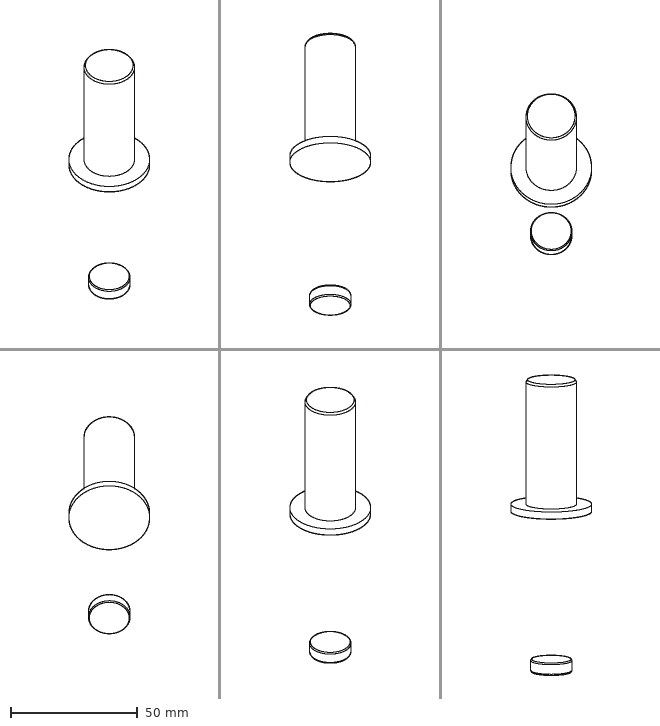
import cadquery as cq

total_height = 117.5
shaft_diameter = 20.0
shaft_length = 50.0
shaft_chamfer_inset = 0.6
shaft_chamfer_height = 0.9
flange_diameter = 32.0
flange_thickness = 2.9

disc_diameter = 16.5
disc_thickness = 5.0
disc_chamfer_inset = 0.4
disc_chamfer_height = 0.6

flange_bottom = total_height - shaft_length - flange_thickness


def revolve_about_z(profile):
    """Revolve a closed profile of (radius, height) points about the Z axis."""
    return cq.Workplane("XZ").polyline(profile).close().revolve(360, (0, 0), (0, 1))


def make_pin():
    """Round shaft with a steeply chamfered top end and a plain flange at its foot."""
    shaft_radius = shaft_diameter / 2
    flange_radius = flange_diameter / 2
    flange_top = flange_bottom + flange_thickness
    return revolve_about_z([
        (0, flange_bottom),
        (flange_radius, flange_bottom),
        (flange_radius, flange_top),
        (shaft_radius, flange_top),
        (shaft_radius, total_height - shaft_chamfer_height),
        (shaft_radius - shaft_chamfer_inset, total_height),
        (0, total_height),
    ])


def make_disc():
    """Short round disc with both rims steeply chamfered."""
    rim_radius = disc_diameter / 2
    face_radius = rim_radius - disc_chamfer_inset
    return revolve_about_z([
        (0, 0),
        (face_radius, 0),
        (rim_radius, disc_chamfer_height),
        (rim_radius, disc_thickness - disc_chamfer_height),
        (face_radius, disc_thickness),
        (0, disc_thickness),
    ])


pin = make_pin()
disc = make_disc()

result = cq.Compound.makeCompound([pin.val(), disc.val()])